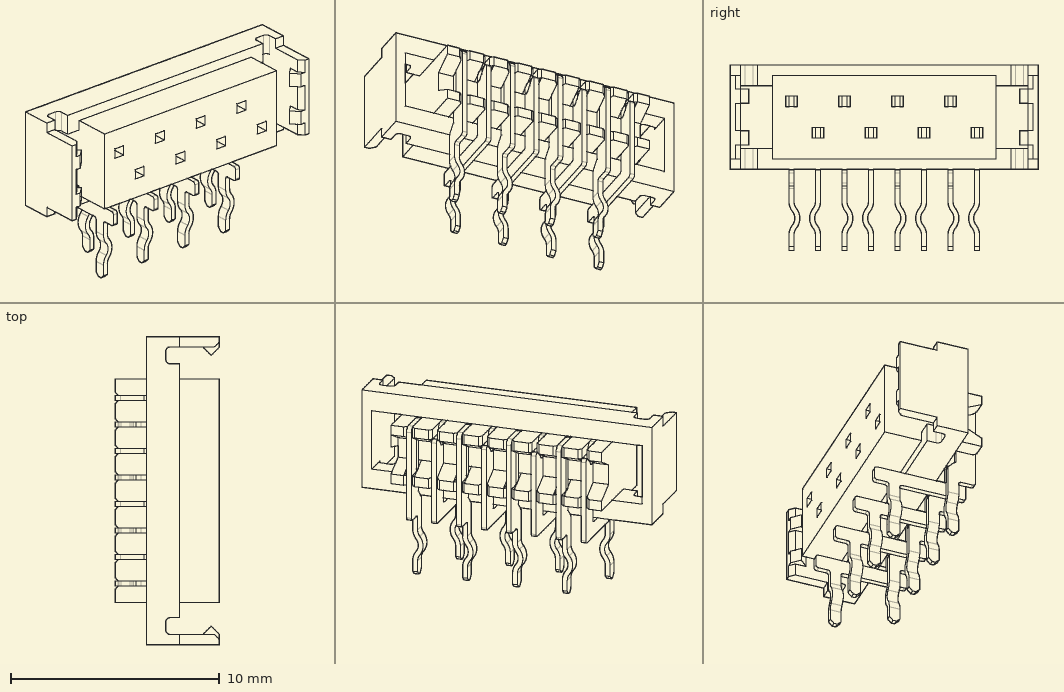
import cadquery as cq
import math


overall_height = 8.9

frame_length = 14.76
frame_height = 5.0
frame_front_x = 1.5
frame_back_x = 3.1
frame_end_wall = 0.5
frame_rail = 1.0
housing_depth = 5.0
block_length = 10.72
rear_step = 0.5

block_bottom_z = frame_rail
block_top_z = frame_height - frame_rail
middle_z = frame_height / 2

groove_depth = 1.0
groove_mouth = 2.0
groove_floor = 1.0
groove_upper_z = middle_z + groove_floor / 2
groove_lower_z = middle_z - groove_floor / 2
contact_hole_height = (groove_mouth - groove_floor) / 2

latch_notch_x = 2.44
latch_notch_width = 0.8
latch_notch_radius = 0.2
latch_tip_chamfer = 0.25
hook_height = 0.7
hook_reach = 0.4
hook_spacing = 2.0

pin_count = 8
pin_pitch = 1.27
pin_thickness = 0.25
slot_depth = 2.0
slot_chamfer = 0.15
contact_hole_width = pin_thickness + 2 * slot_chamfer

arm_width = groove_depth
bar_top_z = -0.05
bar_bottom_z = -0.8
bar_end_x = 4.71
bar_end_radius = 0.13
bar_front_radius = 0.15
bar_inner_radius = 0.1
pin_tip_z = frame_height - overall_height

leg_width = 0.56
leg_root_radius = 0.12
leg_tip_chamfer = 0.19
near_leg_x = 1.15
row_spacing = 2.54
far_leg_x = near_leg_x + row_spacing

bend_start_z = -1.55
bend_arc_height = 0.4
bend_offset = 0.28
bend_radius = (bend_arc_height**2 + (bend_offset / 2) ** 2) / bend_offset
bend_angle = math.asin(bend_arc_height / bend_radius)
bend_middle_z = bend_start_z - 2 * bend_arc_height

shoulder_radius = 0.25
tall_pin_slope_x = 1.39
tall_pin_slope_drop = 0.35
tall_pin_window_x = 0.71
low_tip_z = groove_upper_z + contact_hole_height
low_tip_radius = 0.13
low_tip_end_x = 0.25
dip_start_x = 0.75
dip_slope_radius = 0.12
dip_radius = 0.12


def centred_box(x_start, x_end, y_width, z_bottom, z_top, y_centre=0.0):
    """Box between two X and two Z planes, centred on y_centre."""
    return (
        cq.Workplane("XY")
        .box(x_end - x_start, y_width, z_top - z_bottom, centered=(False, True, False))
        .translate((x_start, y_centre, z_bottom))
    )


def pin_y(index):
    """Y of a pin, counted from the +Y end."""
    return ((pin_count - 1) / 2 - index) * pin_pitch


def is_tall(index):
    """Pins alternate between tall (near leg) and low (far leg)."""
    return index % 2 == 0


def frame():
    """Rectangular frame, notched behind each latch arm."""
    inner_half = frame_length / 2 - frame_end_wall
    body = centred_box(frame_front_x, frame_back_x, frame_length, 0, frame_height)
    window = centred_box(frame_front_x, frame_back_x, 2 * inner_half, block_bottom_z, block_top_z)
    body = body.cut(window)
    notch_y = inner_half - latch_notch_width / 2
    for side in (-1, 1):
        notch = centred_box(
            latch_notch_x, housing_depth, latch_notch_width, 0, frame_height, side * notch_y
        )
        body = body.cut(notch.edges("|Z and <X").fillet(latch_notch_radius))
    return body


def latch_arm(side):
    """Arm reaching back from the frame, with two hooks on its inner face."""
    outer_y = frame_length / 2
    inner_y = outer_y - frame_end_wall
    arm = (
        cq.Workplane("XY", origin=(0, 0, rear_step))
        .moveTo(frame_back_x, outer_y)
        .lineTo(housing_depth, outer_y)
        .lineTo(housing_depth, inner_y + latch_tip_chamfer)
        .lineTo(housing_depth - latch_tip_chamfer, inner_y)
        .lineTo(frame_back_x, inner_y)
        .close()
        .extrude(frame_height - 2 * rear_step)
    )
    hook_base_x = housing_depth - 2 * hook_reach
    for level in (-1, 1):
        hook_bottom_z = middle_z + level * hook_spacing / 2 - hook_height / 2
        hook = (
            cq.Workplane("XY", origin=(0, 0, hook_bottom_z))
            .moveTo(hook_base_x, inner_y)
            .lineTo(housing_depth - hook_reach, inner_y - hook_reach)
            .lineTo(housing_depth, inner_y)
            .lineTo(housing_depth, inner_y + latch_tip_chamfer)
            .lineTo(hook_base_x, inner_y + latch_tip_chamfer)
            .close()
            .extrude(hook_height)
        )
        arm = arm.union(hook)
    if side < 0:
        arm = arm.mirror("XZ")
    return arm


def contact_block():
    """Block through the frame, with a groove on its pin side and a taller mating end."""
    front = centred_box(0, frame_back_x, block_length, block_bottom_z, block_top_z)
    rear = centred_box(frame_back_x, housing_depth, block_length, rear_step, frame_height - rear_step)
    groove = (
        cq.Workplane("XZ")
        .moveTo(0, middle_z - groove_mouth / 2)
        .lineTo(groove_depth, groove_lower_z)
        .lineTo(groove_depth, groove_upper_z)
        .lineTo(0, middle_z + groove_mouth / 2)
        .close()
        .extrude(block_length / 2, both=True)
    )
    return front.union(rear).cut(groove)


def pin_slot(index):
    """Slot for one pin, with a chamfered mouth, open at the top and bottom of the block."""
    half_slot = pin_thickness / 2
    half_mouth = half_slot + slot_chamfer
    return (
        cq.Workplane("XY", origin=(0, pin_y(index), block_bottom_z))
        .moveTo(0, -half_mouth)
        .lineTo(slot_chamfer, -half_slot)
        .lineTo(slot_depth, -half_slot)
        .lineTo(slot_depth, half_slot)
        .lineTo(slot_chamfer, half_slot)
        .lineTo(0, half_mouth)
        .close()
        .extrude(block_top_z - block_bottom_z)
    )


def contact_hole(index):
    """Through hole around a pin: below the groove floor for tall pins, above it for low ones."""
    bottom_z = groove_lower_z - contact_hole_height if is_tall(index) else groove_upper_z
    top_z = bottom_z + contact_hole_height
    return centred_box(0, housing_depth, contact_hole_width, bottom_z, top_z, pin_y(index))


def make_housing():
    body = frame().union(contact_block())
    for side in (-1, 1):
        body = body.union(latch_arm(side))
    for index in range(pin_count):
        body = body.cut(pin_slot(index)).cut(contact_hole(index))
    return body


def bent_strip(direction):
    """Metal strip of full pin height, seen along X, bowed to one side in the leg."""
    half = pin_thickness / 2

    def side_points(side):
        """Arc ends and midpoints down one face of the bend."""
        outer = bend_radius - side
        peak = bend_radius + side
        points = []
        for angle in (0, bend_angle / 2, bend_angle):
            y = bend_radius - outer * math.cos(angle)
            points.append((y, bend_start_z - outer * math.sin(angle)))
        points.append((bend_offset + side, bend_middle_z))
        mirrored = [(y, 2 * bend_middle_z - z) for y, z in reversed(points[:3])]
        return [(direction * y, z) for y, z in points + mirrored]

    left = side_points(-half)
    right = side_points(half)[::-1]
    return (
        cq.Workplane("YZ")
        .moveTo(-direction * half, block_top_z)
        .lineTo(*left[0])
        .threePointArc(left[1], left[2])
        .threePointArc(left[3], left[4])
        .threePointArc(left[5], left[6])
        .lineTo(-direction * half, pin_tip_z)
        .lineTo(direction * half, pin_tip_z)
        .lineTo(*right[0])
        .threePointArc(right[1], right[2])
        .threePointArc(right[3], right[4])
        .threePointArc(right[5], right[6])
        .lineTo(direction * half, block_top_z)
        .close()
        .extrude(bar_end_x)
    )


def plate(points):
    """Polygon in the XZ plane, thick enough in Y to span the bend."""
    return cq.Workplane("XZ").polyline(points).close().extrude(pin_pitch / 2, both=True)


def round_corner(body, x, z, radius):
    """Round the edge along Y that passes through (x, z)."""
    return body.edges(cq.selectors.NearestToPointSelector((x, 0, z))).fillet(radius)


def leg_points(centre_x):
    """Lower end of a leg, from its +X side to its -X side."""
    half = leg_width / 2
    shoulder_z = pin_tip_z + leg_tip_chamfer
    return [
        (centre_x + half, shoulder_z),
        (centre_x + half - leg_tip_chamfer, pin_tip_z),
        (centre_x - half + leg_tip_chamfer, pin_tip_z),
        (centre_x - half, shoulder_z),
        (centre_x - half, bar_bottom_z),
    ]


def tall_outline():
    """Pin flush with the block top; its arm runs at 45 degrees into the near leg.

    A window as high as the groove mouth separates the arm from the part held in the block.
    """
    leg_back_x = near_leg_x + leg_width / 2
    brace_z = bar_top_z + leg_back_x - arm_width
    body = plate(
        [
            (0, block_top_z),
            (tall_pin_slope_x, block_top_z),
            (slot_depth, block_top_z - tall_pin_slope_drop),
            (slot_depth, block_bottom_z),
            (arm_width, block_bottom_z),
            (arm_width, brace_z),
            (leg_back_x, bar_top_z),
            *leg_points(near_leg_x),
            (0, bar_bottom_z),
        ]
    )
    window = centred_box(
        tall_pin_window_x,
        arm_width,
        pin_pitch,
        middle_z - groove_mouth / 2,
        middle_z + groove_mouth / 2,
    )
    body = body.cut(window)
    body = round_corner(body, 0, block_top_z, shoulder_radius)
    body = round_corner(body, 0, bar_bottom_z, bar_front_radius)
    return round_corner(body, near_leg_x - leg_width / 2, bar_bottom_z, leg_root_radius)


def low_outline():
    """Pin with a low tip, a dip behind it, and a bar back to the far leg."""
    leg_half = leg_width / 2
    body = plate(
        [
            (0, low_tip_z),
            (low_tip_end_x, low_tip_z),
            (dip_start_x, groove_upper_z),
            (arm_width, groove_upper_z),
            (arm_width, block_top_z),
            (slot_depth, block_top_z),
            (slot_depth, block_bottom_z),
            (arm_width, block_bottom_z),
            (arm_width, bar_top_z),
            (bar_end_x, bar_top_z),
            (bar_end_x, bar_bottom_z),
            (far_leg_x + leg_half, bar_bottom_z),
            *leg_points(far_leg_x),
            (0, bar_bottom_z),
        ]
    )
    body = round_corner(body, 0, low_tip_z, low_tip_radius)
    body = round_corner(body, low_tip_end_x, low_tip_z, dip_slope_radius)
    body = round_corner(body, dip_start_x, groove_upper_z, dip_slope_radius)
    body = round_corner(body, arm_width, groove_upper_z, dip_radius)
    body = round_corner(body, arm_width, block_top_z, shoulder_radius)
    body = round_corner(body, arm_width, bar_top_z, bar_inner_radius)
    for z in (bar_top_z, bar_bottom_z):
        body = round_corner(body, bar_end_x, z, bar_end_radius)
    for x in (far_leg_x - leg_half, far_leg_x + leg_half):
        body = round_corner(body, x, bar_bottom_z, leg_root_radius)
    return round_corner(body, 0, bar_bottom_z, bar_front_radius)


def make_pin(index):
    """One pin in place; tall pins bow towards -Y and low pins towards +Y."""
    if is_tall(index):
        pin = bent_strip(-1).intersect(tall_outline())
    else:
        pin = bent_strip(1).intersect(low_outline())
    return pin.translate((0, pin_y(index), 0))


housing = make_housing()
pins = [make_pin(index) for index in range(pin_count)]

result = cq.Compound.makeCompound([housing.solids().val(), *[pin.solids().val() for pin in pins]])